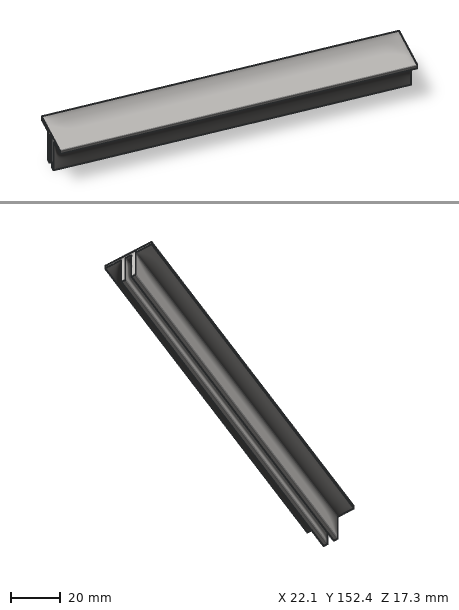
import cadquery as cq

length = 152.4
height = 17.272
flange_thickness = 1.778
leg_thickness = 2.032
leg_gap = 2.794
flange_overhang = 7.62
edge_radius = 0.254

leg_height = height - flange_thickness
leg_inner_x = leg_gap / 2
leg_outer_x = leg_inner_x + leg_thickness
leg_center_x = (leg_inner_x + leg_outer_x) / 2
flange_edge_x = leg_outer_x + flange_overhang


def make_flange():
    """Flat top plate, with its underside at the top of the legs."""
    plate = cq.Workplane("XY").box(2 * flange_edge_x, length, flange_thickness, centered=(True, True, False))
    return plate.translate((0, 0, leg_height))


def make_leg(x_center):
    """Upright wall running the full length, standing on Z = 0."""
    leg = cq.Workplane("XY").box(leg_thickness, length, leg_height, centered=(True, True, False))
    return leg.translate((x_center, 0, 0))


def round_long_edge(body, x, z):
    """Fillet the full-length edge that passes through (x, z)."""
    edge = cq.selectors.NearestToPointSelector((x, 0, z))
    return body.edges("|Y").edges(edge).fillet(edge_radius)


result = make_flange()
for side in (-1, 1):
    result = result.union(make_leg(side * leg_center_x))

for side in (-1, 1):
    result = round_long_edge(result, side * flange_edge_x, height)
    for leg_face_x in (leg_inner_x, leg_outer_x):
        result = round_long_edge(result, side * leg_face_x, leg_height)
        result = round_long_edge(result, side * leg_face_x, 0)